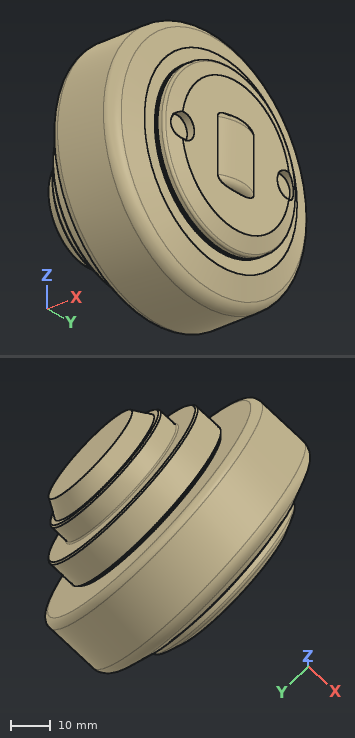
import cadquery as cq
import math

TOTAL_LENGTH = 50.4
STUD_X = 4.9
HUB_X = 10.95
FLANGE_X = 19.95
WHEEL_X = 20.4
WHEEL_END_X = 43.6
GROOVE_X = 43.95
CAP_X = 44.4
CAP_END_X = 48.45

STUD_TIP_RADIUS = 15.15
STUD_BASE_RADIUS = 18.0
HUB_RADIUS = 40.0 / 2
FLANGE_RADIUS = 54.0 / 2
NECK_RADIUS = 52 / 2
WHEEL_RADIUS = 38.8
WHEEL_FACE_RADIUS = 30.0
CAP_RADIUS = 52 / 2
CAP_FACE_RADIUS = 21.2

EDGE_CHAMFER = 0.5
HUB_FILLET = 0.4
WHEEL_NEAR_FILLET = 2.1
WHEEL_FAR_FILLET = 3.95
CAP_FILLET = 0.9
GROOVE_DEPTH = 0.2

ROLLER_RADIUS = 14
ROLLER_LENGTH = 20.8
ROLLER_FILLET = 2.2

CAP_HOLE_DIAMETER = 7.8
CAP_HOLE_OFFSET = 20.2
CAP_HOLE_DEPTH = 2.3

WHEEL_CONE_ANGLE = math.radians(69)
CAP_CONE_ANGLE = math.radians(67)


def disc(start_x, end_x, radius):
    """Plain disc about the X axis."""
    return cq.Workplane("YZ", origin=(start_x, 0, 0)).circle(radius).extrude(end_x - start_x)


def coned_disc(start_x, end_x, radius, face_radius, cone_angle, fillet):
    """Disc with a conical far shoulder, blended tangentially into its rim by a fillet."""
    blend_drop = fillet * (1 - math.cos(cone_angle))
    blend_radius = radius - blend_drop
    blend_x = end_x - (blend_radius - face_radius) / math.tan(cone_angle)
    rim_end_x = blend_x - fillet * math.sin(cone_angle)
    middle_angle = cone_angle / 2
    middle = (
        rim_end_x + fillet * math.sin(middle_angle),
        radius - fillet * (1 - math.cos(middle_angle)),
    )
    return (
        cq.Workplane("XY")
        .moveTo(start_x, 0)
        .lineTo(start_x, radius)
        .lineTo(rim_end_x, radius)
        .threePointArc(middle, (blend_x, blend_radius))
        .lineTo(end_x, face_radius)
        .lineTo(end_x, 0)
        .close()
        .revolve(360, (0, 0, 0), (1, 0, 0))
    )


def stud():
    """Tapered free end."""
    return (
        cq.Workplane("XY")
        .polyline([(0, 0), (0, STUD_TIP_RADIUS), (STUD_X, STUD_BASE_RADIUS), (STUD_X, 0)])
        .close()
        .revolve(360, (0, 0, 0), (1, 0, 0))
    )


def hub():
    """Hub with a chamfered near edge and a small concave flare at the flange."""
    flare_start = HUB_X - HUB_FILLET
    flare_middle = HUB_FILLET * math.sqrt(0.5)
    return (
        cq.Workplane("XY")
        .moveTo(STUD_X, 0)
        .lineTo(STUD_X, HUB_RADIUS - EDGE_CHAMFER)
        .lineTo(STUD_X + EDGE_CHAMFER, HUB_RADIUS)
        .lineTo(flare_start, HUB_RADIUS)
        .threePointArc(
            (flare_start + flare_middle, HUB_RADIUS + HUB_FILLET - flare_middle),
            (HUB_X, HUB_RADIUS + HUB_FILLET),
        )
        .lineTo(HUB_X, 0)
        .close()
        .revolve(360, (0, 0, 0), (1, 0, 0))
    )


def flange():
    """Flange chamfered on both rims."""
    return disc(HUB_X, FLANGE_X, FLANGE_RADIUS).edges().chamfer(EDGE_CHAMFER)


def cap():
    """Cap with two blind holes in its face."""
    body = coned_disc(CAP_X, CAP_END_X, CAP_RADIUS, CAP_FACE_RADIUS, CAP_CONE_ANGLE, CAP_FILLET)
    holes = (
        cq.Workplane("YZ", origin=(CAP_END_X - CAP_HOLE_DEPTH, 0, 0))
        .pushPoints([(-CAP_HOLE_OFFSET, 0), (CAP_HOLE_OFFSET, 0)])
        .circle(CAP_HOLE_DIAMETER / 2)
        .extrude(CAP_HOLE_DEPTH)
    )
    return body.cut(holes)


def roller():
    """Part of the side roller that stands proud of the cap face."""
    barrel = (
        cq.Workplane("XY", origin=(TOTAL_LENGTH - ROLLER_RADIUS, 0, -ROLLER_LENGTH / 2))
        .circle(ROLLER_RADIUS)
        .extrude(ROLLER_LENGTH)
        .edges()
        .fillet(ROLLER_FILLET)
    )
    return barrel.intersect(disc(CAP_END_X, TOTAL_LENGTH, ROLLER_RADIUS))


def wheel():
    """Outer wheel with a rounded near edge and a conical far shoulder."""
    body = coned_disc(
        WHEEL_X, WHEEL_END_X, WHEEL_RADIUS, WHEEL_FACE_RADIUS, WHEEL_CONE_ANGLE, WHEEL_FAR_FILLET
    )
    return body.faces("<X").edges().fillet(WHEEL_NEAR_FILLET)


result = (
    stud()
    .union(hub())
    .union(flange())
    .union(disc(FLANGE_X, WHEEL_X, NECK_RADIUS))
    .union(wheel())
    .union(disc(WHEEL_END_X, GROOVE_X, CAP_RADIUS))
    .union(disc(GROOVE_X, CAP_X, CAP_RADIUS - GROOVE_DEPTH))
    .union(cap())
    .union(roller())
)